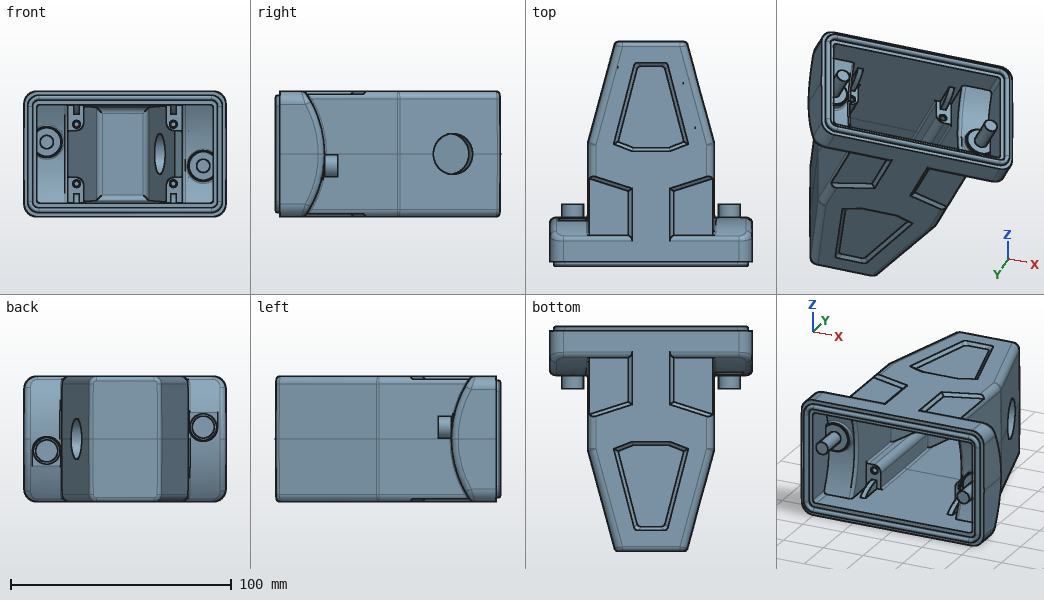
import cadquery as cq
import math

WIDTH = 92.0
HEIGHT = 57.0
BACK = 100.0
DRAFT = 0.5

FLANGE_CORNER = 6.0
RIM_FILLET = 3.0
SHOULDER_TOP = 20.2
SHOULDER_RADIUS = 49.2
ARCH_CENTRE_Y = SHOULDER_TOP - SHOULDER_RADIUS

HOOD_HALF = 28.8
HOOD_START = 5.1
KNEE = 53.8
HOOD_ANGLE = 15.2
BACK_HALF = HOOD_HALF - (BACK - KNEE) * math.tan(math.radians(HOOD_ANGLE))
HOOD_FILLET = 3.5
KNEE_FILLET = 4.0
BACK_FILLET = 2.0
NECK_FILLET = 0.8

RECESS_DEPTH = 1.4
RECESS_MARGIN = 0.1
RECESS_WALL_ANGLE = 50.0
LABEL_BACK = 90.4
LABEL_BACK_HALF = 7.3
LABEL_SIDE_Y = 53.4
LABEL_SIDE_HALF = 16.9
LABEL_FRONT = 50.2
LABEL_FRONT_HALF = 8.6
LABEL_CORNER = 3.0
WEB_HALF = 8.6
GRIP_INNER_Y = 33.4
GRIP_SLOPE = 17.8

OPENING_HALF_X = 40.1
OPENING_HALF_Z = 22.3
OPENING_CORNER = 1.5
SHOULDER_WALL = 3.4
CEILING_RADIUS = SHOULDER_RADIUS - SHOULDER_WALL
CAVITY_HALF = 25.9
CAVITY_BACK = 97.4
CAVITY_BACK_HALF_Z = 21.1
CAVITY_KNEE = 52.0
CAVITY_KNEE_HALF_Z = 22.0
OPENING_DRAFT = math.degrees(math.atan2(OPENING_HALF_Z - CAVITY_KNEE_HALF_Z, CAVITY_KNEE))
CAVITY_LEFT_BACK = 12.3
CAVITY_RIGHT_KNEE = 22.4
CAVITY_RIGHT_BACK = 10.2
CAVITY_STEP = CAVITY_HALF - CAVITY_RIGHT_KNEE
CAVITY_FILLET = 2.8
LIP_FILLET = 1.4

ENTRY_DIAMETER = 18.5
ENTRY_X = 15.7
ENTRY_Y = 76.7

POST_INNER_X = 18.8
POST_INNER_Z = 10.6
POST_CORNER = 3.5
POST_BLEND = 0.9
POST_FACE = 26.5
POST_HOLE_X = 21.9
POST_HOLE_Z = 13.5
POST_HOLE_DIAMETER = 2.5
POST_HOLE_RIM = 3.5
POST_HOLE_DEPTH = 10.2
GUSSET_WIDTH = 2.5
GUSSET_TIP = 14.3
GUSSET_Z = 18.1
GUSSET_MIDDLE = (20.4, 19.0)

PIN_X = 35.5
PIN_Z = 5.4
PIN_DIAMETER = 6.0
PIN_HEAD_DIAMETER = 10.0
PIN_HEAD_BASE = SHOULDER_TOP
PIN_HEAD_LENGTH = 6.0
COLLAR_DIAMETER = 14.0
COLLAR_FACE_DIAMETER = 13.0
COLLAR_FACE = 13.4
COLLAR_BLEND = 0.7
PIN_FLANGE_DIAMETER = 12.0
PIN_FLANGE_TOP = 19.6
POCKET_DIAMETER = 13.0
POCKET_FLOOR = 18.7

SEAL_HALF_X = 44.2
SEAL_HALF_Z = 26.6
SEAL_WIDTH = 2.2
SEAL_HEIGHT = 2.0
SEAL_CORNER = 5.1

OVER = 10.2
REACH = 0.9
CORNERS = [(sx, sz) for sx in (-1, 1) for sz in (-1, 1)]
PIN_PLACES = [(-PIN_X, PIN_Z), (PIN_X, -PIN_Z)]


def rod(x, z, diameter, start, end, end_diameter=None):
    """Round bar or cone along Y from start to end."""
    first = cq.Workplane("XZ", origin=(x, start, z)).circle(diameter / 2)
    if end_diameter is None:
        return first.extrude(start - end)
    return first.workplane(offset=start - end).circle(end_diameter / 2).loft()


def block(x0, x1, y0, y1, z0, z1):
    """Box between two opposite corners."""
    size = (x1 - x0, y1 - y0, z1 - z0)
    return cq.Workplane("XY").box(*size, centered=False).translate((x0, y0, z0))


def edges_near(half_x, y_range, z_range):
    """Selector for edges centred near X = +half_x or -half_x, at heights z_range above or below Z = 0."""
    picked = None
    for sx, sz in CORNERS:
        low = (sx * half_x - REACH, y_range[0], sz * z_range[0])
        high = (sx * half_x + REACH, y_range[1], sz * z_range[1])
        box = cq.selectors.BoxSelector(low, high)
        picked = box if picked is None else picked + box
    return picked


def arch(radius):
    """Cylinder along X whose surface forms an arched shoulder or ceiling."""
    plane = cq.Workplane("YZ", origin=(-WIDTH, ARCH_CENTRE_Y, 0))
    return plane.circle(radius).extrude(2 * WIDTH)


def mirrored(upper):
    """The upper half joined to its mirror image below the parting plane."""
    return upper.union(upper.mirror("XY"))


def flange():
    """Rounded plate whose rear surface is arched, without its cavity."""
    half = cq.Workplane("XY").rect(WIDTH, 2 * BACK).extrude(HEIGHT / 2, taper=DRAFT)
    half = half.edges("|Y and >Z").fillet(FLANGE_CORNER)
    half = half.intersect(block(-WIDTH, WIDTH, 0, BACK / 2, 0, HEIGHT)).intersect(arch(SHOULDER_RADIUS))
    half = half.faces(">Y").edges("not <Z").fillet(RIM_FILLET)
    return mirrored(half)


def hood():
    """Straight box that converges towards the rear, without its cavity."""
    outline = [
        (-HOOD_HALF, 0), (HOOD_HALF, 0), (HOOD_HALF, KNEE),
        (BACK_HALF, BACK), (-BACK_HALF, BACK), (-HOOD_HALF, KNEE),
    ]
    half = cq.Workplane("XY").polyline(outline).close().extrude(HEIGHT / 2, taper=DRAFT)
    half = half.intersect(block(-WIDTH, WIDTH, HOOD_START, 2 * BACK, 0, HEIGHT))
    knees = edges_near(HOOD_HALF, (KNEE - REACH, KNEE + REACH), (REACH, HEIGHT / 2 - REACH))
    half = half.edges(knees).fillet(KNEE_FILLET)
    half = half.faces(">Z").edges("not(|X)").fillet(HOOD_FILLET)
    half = half.faces(">Y").edges("not <Z").fillet(BACK_FILLET)
    return mirrored(half)


def recess(outline):
    """Cutter for a recess with leaning walls in the +Z face."""
    top = cq.Workplane("XY", origin=(0, 0, HEIGHT / 2)).polyline(outline).close()
    return top.extrude(-RECESS_DEPTH, taper=RECESS_WALL_ANGLE)


def label_recess():
    """Recess that follows the converging sides, with its rear corners rounded."""
    half_outline = [
        (LABEL_BACK_HALF, LABEL_BACK), (LABEL_SIDE_HALF, LABEL_SIDE_Y), (LABEL_FRONT_HALF, LABEL_FRONT),
    ]
    outline = half_outline + [(-x, y) for x, y in reversed(half_outline)]
    wall_heights = (HEIGHT / 2 - RECESS_DEPTH + RECESS_MARGIN, HEIGHT / 2 - RECESS_MARGIN)
    corner_depth = (LABEL_BACK - RECESS_DEPTH - REACH, LABEL_BACK)
    floor_half = LABEL_BACK_HALF - REACH
    return recess(outline).edges(edges_near(floor_half, corner_depth, wall_heights)).fillet(LABEL_CORNER)


def grip_recess(side):
    """Recess beside the web that runs out through the side of the hood."""
    outer = WIDTH / 2
    outer_y = GRIP_INNER_Y + (outer - WEB_HALF) * math.tan(math.radians(GRIP_SLOPE))
    outline = [(WEB_HALF, -OVER), (WEB_HALF, GRIP_INNER_Y), (outer, outer_y), (outer, -OVER)]
    return recess([(side * x, y) for x, y in outline])


def opening():
    """Space inside the flange, closed by an arched ceiling."""
    sketch = cq.Workplane("XZ").rect(2 * OPENING_HALF_X, 2 * OPENING_HALF_Z)
    sides = sketch.extrude(-BACK / 2, taper=OPENING_DRAFT).edges("not(#Y)").fillet(OPENING_CORNER)
    return sides.intersect(arch(CEILING_RADIUS))


def hood_cavity():
    """Space inside the hood; the +X wall is thicker, to carry the cable entry."""
    plan = [
        (-CAVITY_HALF, 0), (CAVITY_HALF, 0),
        (CAVITY_HALF, CAVITY_KNEE - CAVITY_STEP), (CAVITY_RIGHT_KNEE, CAVITY_KNEE),
        (CAVITY_RIGHT_BACK, CAVITY_BACK), (-CAVITY_LEFT_BACK, CAVITY_BACK), (-CAVITY_HALF, CAVITY_KNEE),
    ]
    half_profile = [(0, OPENING_HALF_Z), (CAVITY_KNEE, CAVITY_KNEE_HALF_Z), (CAVITY_BACK, CAVITY_BACK_HALF_Z)]
    profile = half_profile + [(y, -z) for y, z in reversed(half_profile)]
    space = cq.Workplane("XY").polyline(plan).close().extrude(HEIGHT / 2, both=True)
    space = space.intersect(cq.Workplane("YZ").polyline(profile).close().extrude(WIDTH, both=True))
    return space.faces(">Y").edges().fillet(CAVITY_FILLET)


def post(sx, sz):
    """Mounting post in one corner of the hood cavity."""
    bar = block(POST_INNER_X, CAVITY_HALF + OVER, POST_FACE, BACK, POST_INNER_Z, HEIGHT / 2)
    bar = bar.edges("|Y and <X and <Z").fillet(POST_CORNER)
    gusset = cq.Workplane("YZ", origin=(POST_HOLE_X, 0, 0)).moveTo(GUSSET_TIP, OPENING_HALF_Z)
    gusset = gusset.threePointArc(GUSSET_MIDDLE, (POST_FACE, GUSSET_Z))
    gusset = gusset.lineTo(POST_FACE, HEIGHT / 2).lineTo(GUSSET_TIP, HEIGHT / 2).close()
    bar = bar.union(gusset.extrude(GUSSET_WIDTH / 2, both=True))
    if sx < 0:
        bar = bar.mirror("YZ")
    return bar.mirror("XY") if sz < 0 else bar


def post_hole(sx, sz):
    """Blind screw hole with a countersunk rim."""
    x, z = sx * POST_HOLE_X, sz * POST_HOLE_Z
    hole = rod(x, z, POST_HOLE_DIAMETER, POST_FACE, POST_FACE + POST_HOLE_DEPTH)
    rim_depth = (POST_HOLE_RIM - POST_HOLE_DIAMETER) / 2
    return hole.union(rod(x, z, POST_HOLE_RIM, POST_FACE, POST_FACE + rim_depth, POST_HOLE_DIAMETER))


def collar(x, z):
    """Thick ring of wall around a pin, standing into the opening."""
    ring = rod(x, z, COLLAR_DIAMETER, COLLAR_FACE, POCKET_FLOOR)
    return ring.faces("<Y").edges().chamfer((COLLAR_DIAMETER - COLLAR_FACE_DIAMETER) / 2)


def cavity():
    """All the hollow space, with the posts and collars left standing in it."""
    space = opening().union(hood_cavity())
    lips = edges_near(CAVITY_HALF, (RIM_FILLET, SHOULDER_TOP), (0, OPENING_HALF_Z))
    space = space.edges(lips).fillet(LIP_FILLET)
    for sx, sz in CORNERS:
        space = space.cut(post(sx, sz))
    post_depths = (POST_FACE + REACH, CAVITY_KNEE)
    feet = edges_near(POST_INNER_X, post_depths, (OPENING_HALF_Z - REACH, OPENING_HALF_Z))
    roots = edges_near(CAVITY_HALF, post_depths, (POST_INNER_Z - REACH, POST_INNER_Z + REACH))
    space = space.edges(feet).fillet(POST_BLEND).edges(roots).edges("|Y").fillet(POST_BLEND)
    for x, z in PIN_PLACES:
        space = space.cut(collar(x, z))
    for x, z in PIN_PLACES:
        half = COLLAR_DIAMETER / 2
        inner_end = x - math.copysign(half, x)
        low = (min(x, inner_end), COLLAR_FACE + REACH, z - half)
        high = (max(x, inner_end), POCKET_FLOOR, z + half)
        base = cq.selectors.BoxSelector(low, high)
        space = space.edges(base).fillet(COLLAR_BLEND)
    return space


def pin_pocket(x, z):
    """Counterbore for a pin flange, open towards the near long side of the shoulder."""
    bore = rod(x, z, POCKET_DIAMETER, POCKET_FLOOR, BACK / 2)
    half = POCKET_DIAMETER / 2
    low, high = (z, HEIGHT / 2) if z > 0 else (-HEIGHT / 2, z)
    return bore.union(block(x - half, x + half, POCKET_FLOOR, BACK / 2, low, high))


def cable_entry():
    """Round opening square to the converging +X wall."""
    angle = math.radians(HOOD_ANGLE)
    normal = (math.cos(angle), math.sin(angle), 0)
    plane = cq.Plane(origin=(ENTRY_X, ENTRY_Y, 0), xDir=(0, 0, 1), normal=normal)
    return cq.Workplane(plane).workplane(offset=-OVER / 2).circle(ENTRY_DIAMETER / 2).extrude(2 * OVER)


def make_housing():
    """Hood and flange in one casting, with its recesses, cavity and holes."""
    body = hood()
    for cutter in (label_recess(), grip_recess(-1), grip_recess(1)):
        body = body.cut(cutter).cut(cutter.mirror("XY"))
    body = body.union(flange())
    neck = edges_near(HOOD_HALF, (SHOULDER_TOP / 2, SHOULDER_TOP), (0, HEIGHT / 2))
    body = body.edges(neck).fillet(NECK_FILLET)
    for x, z in PIN_PLACES:
        body = body.cut(pin_pocket(x, z))
    body = body.cut(cavity()).cut(cable_entry())
    for sx, sz in CORNERS:
        body = body.cut(post_hole(sx, sz))
    for x, z in PIN_PLACES:
        body = body.cut(rod(x, z, PIN_DIAMETER, 0, BACK / 2))
    return body


def make_pin(x, z):
    """Stud with a flange that sits in the pin pocket and a short round head."""
    shank = rod(x, z, PIN_DIAMETER, 0, PIN_HEAD_BASE)
    flange = rod(x, z, PIN_FLANGE_DIAMETER, POCKET_FLOOR, PIN_FLANGE_TOP)
    head = rod(x, z, PIN_HEAD_DIAMETER, PIN_HEAD_BASE, PIN_HEAD_BASE + PIN_HEAD_LENGTH)
    return shank.union(flange).union(head)


def make_seal():
    """Rectangular ring with a full-round lip, lying on the mating face."""
    middle = SEAL_HALF_X - SEAL_WIDTH / 2
    path = cq.Workplane("XZ").rect(2 * middle, 2 * SEAL_HALF_Z - SEAL_WIDTH).extrude(1)
    path = path.edges("|Y").fillet(SEAL_CORNER - SEAL_WIDTH / 2).faces(">Y").wires()
    lip = SEAL_WIDTH / 2
    section = (
        cq.Workplane("XY", origin=(middle, 0, 0)).moveTo(-lip, 0).lineTo(-lip, lip - SEAL_HEIGHT)
        .threePointArc((0, -SEAL_HEIGHT), (lip, lip - SEAL_HEIGHT)).lineTo(lip, 0).close()
    )
    return section.sweep(path)


housing = make_housing()
pins = [make_pin(x, z) for x, z in PIN_PLACES]
seal = make_seal()
result = cq.Compound.makeCompound([housing.val(), seal.val(), *[pin.val() for pin in pins]])